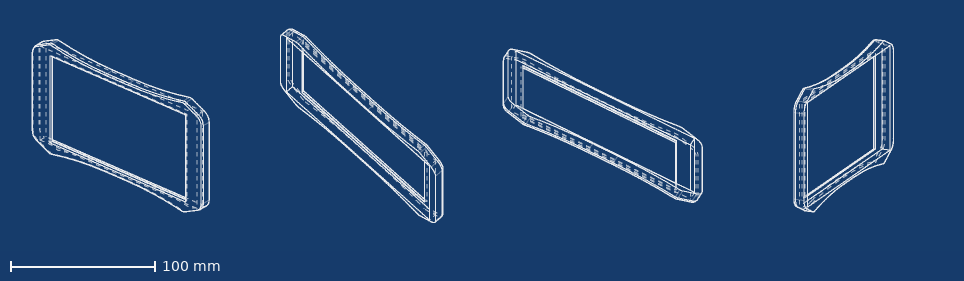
import cadquery as cq
import math

WIDTH = 154.2
THICKNESS = 8.0
HALF_WIDTH = WIDTH / 2
FRONT_Y = -THICKNESS / 2

SHOULDER_Z = 36.4
PEAK_X = 60.4
PEAK_Z = 44.8
WAIST_Z = 39.6
WAIST_HALF_LENGTH = 10.0
SHOULDER_RADIUS = 8.0
PEAK_RADIUS = 3.5

WINDOW_WIDTH = 121.6
WINDOW_X = 1.0
WINDOW_HEIGHT = 69.2
LIP_THICKNESS = 2.0

RECESS_WIDTH = 142.0
RECESS_HEIGHT = 76.0

BEVEL_DEPTH = 1.6
BEVEL_INSET = 0.6

PICK_REACH = 0.1


def waist_arc_middle():
    """Point halfway along the concave arc that leaves the straight waist tangentially."""
    run = PEAK_X - WAIST_HALF_LENGTH
    rise = PEAK_Z - WAIST_Z
    radius = (run**2 + rise**2) / (2 * rise)
    half_angle = math.asin(run / radius) / 2
    return (
        WAIST_HALF_LENGTH + radius * math.sin(half_angle),
        WAIST_Z + radius * (1 - math.cos(half_angle)),
    )


def round_corners(body, x, z, radius):
    """Round the four edges along Y that stand at (+-x, +-z)."""
    for side_x in (-x, x):
        for side_z in (-z, z):
            box = cq.selectors.BoxSelector(
                (side_x - PICK_REACH, -THICKNESS, side_z - PICK_REACH),
                (side_x + PICK_REACH, THICKNESS, side_z + PICK_REACH),
            )
            body = body.edges("|Y").edges(box).fillet(radius)
    return body


def front_plane(depth=0):
    """Workplane parallel to the front face; its normal points to the front (-Y)."""
    return cq.Workplane("XZ", origin=(0, FRONT_Y + depth, 0))


def outer_body():
    mid_x, mid_z = waist_arc_middle()
    outline = (
        front_plane()
        .moveTo(-WAIST_HALF_LENGTH, WAIST_Z)
        .lineTo(WAIST_HALF_LENGTH, WAIST_Z)
        .threePointArc((mid_x, mid_z), (PEAK_X, PEAK_Z))
        .lineTo(HALF_WIDTH, SHOULDER_Z)
        .lineTo(HALF_WIDTH, -SHOULDER_Z)
        .lineTo(PEAK_X, -PEAK_Z)
        .threePointArc((mid_x, -mid_z), (WAIST_HALF_LENGTH, -WAIST_Z))
        .lineTo(-WAIST_HALF_LENGTH, -WAIST_Z)
        .threePointArc((-mid_x, -mid_z), (-PEAK_X, -PEAK_Z))
        .lineTo(-HALF_WIDTH, -SHOULDER_Z)
        .lineTo(-HALF_WIDTH, SHOULDER_Z)
        .lineTo(-PEAK_X, PEAK_Z)
        .threePointArc((-mid_x, mid_z), (-WAIST_HALF_LENGTH, WAIST_Z))
        .close()
    )
    body = outline.extrude(-THICKNESS)
    body = round_corners(body, HALF_WIDTH, SHOULDER_Z, SHOULDER_RADIUS)
    body = round_corners(body, PEAK_X, PEAK_Z, PEAK_RADIUS)
    return body.faces("<Y").edges().chamfer(BEVEL_INSET, BEVEL_DEPTH)


def window():
    """Straight opening through the lip, widening through the bevel towards the front face."""
    mouth_width = WINDOW_WIDTH + 2 * BEVEL_INSET
    mouth_height = WINDOW_HEIGHT + 2 * BEVEL_INSET
    straight = front_plane().center(WINDOW_X, 0).rect(WINDOW_WIDTH, WINDOW_HEIGHT).extrude(-THICKNESS)
    mouth = (
        front_plane()
        .center(WINDOW_X, 0)
        .rect(mouth_width, mouth_height)
        .workplane(offset=-BEVEL_DEPTH)
        .rect(WINDOW_WIDTH, WINDOW_HEIGHT)
        .loft(ruled=True)
    )
    return straight.union(mouth)


def recess():
    return front_plane(LIP_THICKNESS).rect(RECESS_WIDTH, RECESS_HEIGHT).extrude(-THICKNESS)


result = outer_body().cut(window()).cut(recess()).solids()